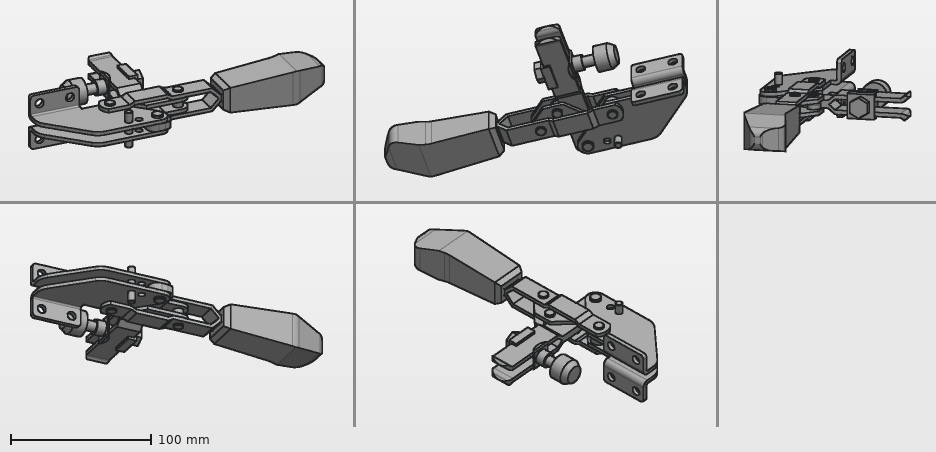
import cadquery as cq
import math


PLATE = 3.0
INNER_LAYER = PLATE
OUTER_LAYER = 6.3
TALL = 42.5
HALF_TALL = TALL / 2
MITRE = math.tan(math.radians(45 / 2))

LEVER_PIVOT = (0.0, 0.0)
ARM_PIVOT = (25.2, 25.9)
LINK_LEVER_PIVOT = (0.0, 53.3)
LINK_ARM_PIVOT = (-10.0, 38.2)
RIVET_D = 7.5
ARM_RIVET_D = 8.3
PIN_CHAMFER = 0.5
LEVER_HEAD = 1.4
INNER_HEAD = 1.8
LEVER_RIVET_TOP = OUTER_LAYER + PLATE + LEVER_HEAD
INNER_RIVET_TOP = INNER_LAYER + PLATE + INNER_HEAD
EYE_SWEEP = 135

BASE_LEFT = -7.5
BASE_BOTTOM = -56.7
BASE_EYE_R = 7.5
BASE_CORNER_R = 12.4
BASE_CORNER_RISE = 32.8
FLANGE_LEFT = -15.5
FLANGE_LENGTH = 38.2
FLANGE_PLATE = 3.4
FLANGE_CORNER_R = 2.7
BEND_R = 1.4
FLANGE_HOLE_D = 6.5
FLANGE_HOLE_SPACING = 23.8
FLANGE_HOLE_Z = 14.2
SPACER_D = 12.2
STOP_HOLE_Y = 11.5
STOP_PIN_Y = 3.4
STOP_HOLE_D = 5.2
STOP_PIN_D = 5.5
STOP_PIN_TOP = 14.0

SCREW_D = 7.9
ARM_TOP = 35.3
ARM_WIDTH = 18.5
ARM_BOTTOM = ARM_TOP - ARM_WIDTH
ARM_MID_Y = (ARM_TOP + ARM_BOTTOM) / 2
ARM_LEFT = -78.0
ARM_RIGHT = ARM_PIVOT[0] + BASE_EYE_R
ARM_END_R = 6.8
ARM_TIP_SAG = 3.4
ARM_PLATE = 3.2
ARM_GAP = SCREW_D / 2
ARM_TIP_BEND_R = 1.8
ARM_TIP_CORNER_R = 2.2
ARM_TIP_SPREAD = 9.2
ARM_FORK_START = -25.0
ARM_FORK_END = -19.8
ARM_FORK_TIP = -20.5
EAR_R = 4.5

LINK_LEFT = -16.0
LINK_EYE_R = 7.0
LINK_CORNER_R = 2.2
LINK_LOW_DIAGONAL = 16.5
LINK_LOW_X = -1.1

LEVER_HALF = 7.5
LEVER_END = -7.6
LEVER_END_SAG = 3.4
BULGE_LIFT = 2.0
BULGE_START = 12.2
BULGE_END = 45.5
BULGE_LOW_RAMP = 4.3
BULGE_HIGH_RAMP = 3.4
NECK_START = 77.0
TANG_END = 128.2

GRIP_START = 84.0
GRIP_BEVEL_END = 88.5
GRIP_WIDEST = 139.7
GRIP_END = 168.3
GRIP_FACE_HALF = 7.6
GRIP_BEVEL_HALF = 10.0
GRIP_WIDEST_HALF = 13.3
GRIP_FACE_X = (-10.8, 11.0)
GRIP_BEVEL_X = (-12.8, 13.5)
GRIP_NOSE_START = (162.2, 8.3)
GRIP_NOSE_MIDDLE = (167.0, 6.0)
GRIP_NOSE_END = (GRIP_END, 2.7)
GRIP_CORNERS = (
    ((15.0, GRIP_WIDEST), 13.5),
    ((1.1, 171.7), 7.5),
    ((-21.2, 159.3), 6.8),
    ((-14.0, 133.2), 18.0),
)
GRIP_X_LIMIT = 33.8

SCREW_X = -44.3
HEAD_FLATS = 13.0
HEAD_TOP = 43.2
SADDLE_LENGTH = 19.8
SADDLE_WALL = 2.0
SADDLE_DROP = 4.7
CLIP_LENGTH = 14.2
CLIP_WALL = 1.4
CLIP_RISE = 2.2
CLIP_CHAMFER = 1.1
COLLAR_D = 11.2
COLLAR_LENGTH = 7.0
PAD_D = 19.1
PAD_TIP_D = 13.7
PAD_TOP = -1.4
PAD_LENGTH = 14.8
PAD_CYLINDER = 10.1
PAD_SOCKET = 6.8


def slab(outline, bottom, top):
    """Extrude an XY outline between two heights."""
    return outline.extrude(top - bottom).translate((0, 0, bottom))


def edge_near(x, y, z):
    """Selector for the edge whose middle is nearest to a point."""
    return cq.selectors.NearestToPointSelector((x, y, z))


def point_on_eye(centre, radius, degrees):
    """Point on the round end of a plate, at an angle from +X."""
    angle = math.radians(degrees)
    return (centre[0] + radius * math.cos(angle), centre[1] + radius * math.sin(angle))


def both_sides(upper):
    """Join a shape with its mirror image below the middle plane."""
    return upper.union(upper.mirror("XY"))


def cross_pin(place, diameter, top):
    """Pin along Z through the middle plane, chamfered at both ends."""
    return (
        cq.Workplane("XY")
        .center(*place)
        .circle(diameter / 2)
        .extrude(top, both=True)
        .faces("|Z").chamfer(PIN_CHAMFER)
    )


def cross_hole(place, diameter):
    """Cutter along Z through everything."""
    return cq.Workplane("XY").center(*place).circle(diameter / 2).extrude(HALF_TALL, both=True)


def y_cylinder(diameter, y_low, y_high):
    """Cylinder on the screw axis."""
    return (
        cq.Workplane("XZ", origin=(SCREW_X, y_low, 0))
        .circle(diameter / 2)
        .extrude(y_low - y_high)
    )


def base_plate():
    """Upper side plate with its rounded eye and sloped corner."""
    right = ARM_PIVOT[0] + BASE_EYE_R
    slope_start = point_on_eye(ARM_PIVOT, BASE_EYE_R, EYE_SWEEP)
    slope_end_y = slope_start[1] - (slope_start[0] - BASE_LEFT)
    outline = (
        cq.Workplane("XY")
        .moveTo(BASE_LEFT, BASE_BOTTOM)
        .lineTo(right - BASE_CORNER_RISE, BASE_BOTTOM)
        .lineTo(right, BASE_BOTTOM + BASE_CORNER_RISE)
        .lineTo(right, ARM_PIVOT[1])
        .threePointArc(point_on_eye(ARM_PIVOT, BASE_EYE_R, EYE_SWEEP / 2), slope_start)
        .lineTo(BASE_LEFT, slope_end_y)
        .close()
    )
    plate = slab(outline, INNER_LAYER, INNER_LAYER + PLATE)
    for x, y in ((right - BASE_CORNER_RISE, BASE_BOTTOM), (right, BASE_BOTTOM + BASE_CORNER_RISE)):
        plate = plate.edges("|Z").edges(edge_near(x, y, INNER_LAYER)).fillet(BASE_CORNER_R)
    return plate


def base_flange():
    """Upper mounting flange, bent up from the side plate, with two screw holes."""
    outer_r = BEND_R + PLATE
    plate_top = INNER_LAYER + PLATE
    back = FLANGE_LEFT + FLANGE_PLATE
    flange = (
        cq.Workplane("XZ", origin=(0, BASE_BOTTOM, 0))
        .moveTo(BASE_LEFT, INNER_LAYER)
        .lineTo(FLANGE_LEFT + outer_r, INNER_LAYER)
        .radiusArc((FLANGE_LEFT, INNER_LAYER + outer_r), outer_r)
        .lineTo(FLANGE_LEFT, HALF_TALL)
        .lineTo(back, HALF_TALL)
        .lineTo(back, plate_top + BEND_R)
        .radiusArc((back + BEND_R, plate_top), -BEND_R)
        .lineTo(BASE_LEFT, plate_top)
        .close()
        .extrude(-FLANGE_LENGTH)
    )
    flange = flange.faces(">Z").edges("|X").fillet(FLANGE_CORNER_R)
    middle_y = BASE_BOTTOM + FLANGE_LENGTH / 2
    holes = (
        cq.Workplane("YZ", origin=(FLANGE_LEFT, 0, 0))
        .pushPoints([(middle_y + side * FLANGE_HOLE_SPACING / 2, FLANGE_HOLE_Z) for side in (-1, 1)])
        .circle(FLANGE_HOLE_D / 2)
        .extrude(FLANGE_PLATE)
    )
    return flange.cut(holes)


def make_base():
    """Two flanged side plates held together by both pivots and the stop pin."""
    base = both_sides(base_plate().union(base_flange()))
    base = base.cut(cross_hole((ARM_PIVOT[0], STOP_HOLE_Y), STOP_HOLE_D))
    spacer = slab(cq.Workplane("XY").circle(SPACER_D / 2), -INNER_LAYER, INNER_LAYER)
    base = base.union(spacer)
    base = base.union(cross_pin(LEVER_PIVOT, RIVET_D, LEVER_RIVET_TOP))
    base = base.union(cross_pin(ARM_PIVOT, ARM_RIVET_D, INNER_RIVET_TOP))
    return base.union(cross_pin((ARM_PIVOT[0], STOP_PIN_Y), STOP_PIN_D, STOP_PIN_TOP))


def make_arm():
    """Two plates that lie together at the pivot and fork apart around the screw."""
    outer_shift = ARM_PLATE * MITRE
    tip_step = ARM_PLATE * math.sqrt(0.5)
    outer = ARM_GAP + ARM_PLATE
    tip_x = ARM_LEFT + tip_step
    tip_inner_z = ARM_TIP_SPREAD - tip_step
    bend = ARM_LEFT + tip_inner_z - ARM_GAP
    section = (
        cq.Workplane("XZ", origin=(0, ARM_BOTTOM, 0))
        .moveTo(ARM_RIGHT, 0)
        .lineTo(ARM_RIGHT, PLATE)
        .lineTo(ARM_FORK_END, PLATE)
        .lineTo(ARM_FORK_START, outer)
        .lineTo(bend + outer_shift, outer)
        .lineTo(tip_x, ARM_TIP_SPREAD)
        .lineTo(ARM_LEFT, tip_inner_z)
        .lineTo(bend, ARM_GAP)
        .lineTo(ARM_FORK_START, ARM_GAP)
        .lineTo(ARM_FORK_TIP, 0)
        .close()
        .extrude(-ARM_WIDTH)
    )
    for x, z, radius in (
        (bend + outer_shift, outer, ARM_TIP_BEND_R),
        (bend, ARM_GAP, ARM_TIP_BEND_R + ARM_PLATE),
    ):
        section = section.edges("|Y").edges(edge_near(x, ARM_MID_Y, z)).fillet(radius)
    outline = (
        cq.Workplane("XY")
        .moveTo(ARM_LEFT + ARM_TIP_SAG, ARM_BOTTOM)
        .lineTo(ARM_RIGHT, ARM_BOTTOM)
        .lineTo(ARM_RIGHT, ARM_TOP)
        .lineTo(ARM_LEFT + ARM_TIP_SAG, ARM_TOP)
        .threePointArc((ARM_LEFT, ARM_MID_Y), (ARM_LEFT + ARM_TIP_SAG, ARM_BOTTOM))
        .close()
    )
    blank = slab(outline, -HALF_TALL, HALF_TALL)
    blank = blank.edges("|Z").edges("<X").fillet(ARM_TIP_CORNER_R)
    blank = blank.edges("|Z").edges(">X").fillet(ARM_END_R)
    arm = both_sides(section).intersect(blank)
    ear_x, ear_y = LINK_ARM_PIVOT
    ear = (
        cq.Workplane("XY")
        .moveTo(ear_x - EAR_R, ARM_MID_Y)
        .lineTo(ear_x - EAR_R, ear_y)
        .threePointArc((ear_x, ear_y + EAR_R), (ear_x + EAR_R, ear_y))
        .lineTo(ear_x + EAR_R, ARM_MID_Y)
        .close()
    )
    arm = arm.union(slab(ear, -PLATE, PLATE))
    return arm.cut(cross_hole(ARM_PIVOT, ARM_RIVET_D)).cut(cross_hole(LINK_ARM_PIVOT, RIVET_D))


def make_link():
    """Two link plates joined by the rivets to the lever and to the arm."""
    shoulder = point_on_eye(LINK_LEVER_PIVOT, LINK_EYE_R, EYE_SWEEP)
    low_y = LINK_LOW_DIAGONAL - LINK_LOW_X
    right = LINK_LEVER_PIVOT[0] + LINK_EYE_R
    outline = (
        cq.Workplane("XY")
        .moveTo(right, LINK_LEVER_PIVOT[1])
        .threePointArc(point_on_eye(LINK_LEVER_PIVOT, LINK_EYE_R, EYE_SWEEP / 2), shoulder)
        .lineTo(LINK_LEFT, shoulder[1] - (shoulder[0] - LINK_LEFT))
        .lineTo(LINK_LEFT, LINK_LOW_DIAGONAL - LINK_LEFT)
        .lineTo(LINK_LOW_X, low_y)
        .lineTo(right, low_y + right - LINK_LOW_X)
        .close()
    )
    plate = slab(outline, INNER_LAYER, INNER_LAYER + PLATE)
    for corner in ("<X", "<Y"):
        plate = plate.edges("|Z").edges(corner).fillet(LINK_CORNER_R)
    link = both_sides(plate)
    link = link.union(cross_pin(LINK_LEVER_PIVOT, RIVET_D, LEVER_RIVET_TOP))
    return link.union(cross_pin(LINK_ARM_PIVOT, RIVET_D, INNER_RIVET_TOP))


def make_lever():
    """Two plates that straddle base and link, bulge over the arm and close to a tang in the grip."""
    inner = OUTER_LAYER
    outer = OUTER_LAYER + PLATE
    neck_shift = PLATE * MITRE
    low_ramp_end = BULGE_START + BULGE_LOW_RAMP
    high_ramp_start = BULGE_END - BULGE_HIGH_RAMP
    tang_start = NECK_START + outer - PLATE
    fork_tip = NECK_START - neck_shift + inner
    side = (
        cq.Workplane("YZ", origin=(-LEVER_HALF, 0, 0))
        .moveTo(LEVER_END, inner)
        .lineTo(BULGE_START, inner)
        .lineTo(low_ramp_end, inner + BULGE_LIFT)
        .lineTo(high_ramp_start, inner + BULGE_LIFT)
        .lineTo(BULGE_END, inner)
        .lineTo(NECK_START - neck_shift, inner)
        .lineTo(fork_tip, 0)
        .lineTo(TANG_END, 0)
        .lineTo(TANG_END, PLATE)
        .lineTo(tang_start, PLATE)
        .lineTo(NECK_START, outer)
        .lineTo(BULGE_END, outer)
        .lineTo(high_ramp_start, outer + BULGE_LIFT)
        .lineTo(low_ramp_end, outer + BULGE_LIFT)
        .lineTo(BULGE_START, outer)
        .lineTo(LEVER_END, outer)
        .close()
        .extrude(2 * LEVER_HALF)
    )
    outline = (
        cq.Workplane("XY")
        .moveTo(-LEVER_HALF, TANG_END)
        .lineTo(-LEVER_HALF, LEVER_END + LEVER_END_SAG)
        .threePointArc((0, LEVER_END), (LEVER_HALF, LEVER_END + LEVER_END_SAG))
        .lineTo(LEVER_HALF, TANG_END)
        .close()
    )
    lever = both_sides(side).intersect(slab(outline, -HALF_TALL, HALF_TALL))
    for place in (LEVER_PIVOT, LINK_LEVER_PIVOT):
        lever = lever.cut(cross_hole(place, RIVET_D))
    return lever


def grip_outline():
    """Bent grip outline in XY, with its bends and nose rounded."""
    bevel_left, bevel_right = GRIP_BEVEL_X
    points = [(x, GRIP_START) for x in GRIP_FACE_X]
    points += [(bevel_right, GRIP_BEVEL_END)]
    points += [corner for corner, radius in GRIP_CORNERS]
    points += [(bevel_left, GRIP_BEVEL_END)]
    body = slab(cq.Workplane("XY").polyline(points).close(), -HALF_TALL, HALF_TALL)
    for (x, y), radius in GRIP_CORNERS:
        body = body.edges("|Z").edges(edge_near(x, y, 0)).fillet(radius)
    return body


def make_grip(lever):
    """Grip that is tapered in both directions, with a socket for the lever tang."""
    thickness = (
        cq.Workplane("YZ", origin=(-GRIP_X_LIMIT, 0, 0))
        .moveTo(GRIP_START, 0)
        .lineTo(GRIP_START, GRIP_FACE_HALF)
        .lineTo(GRIP_BEVEL_END, GRIP_BEVEL_HALF)
        .lineTo(GRIP_WIDEST, GRIP_WIDEST_HALF)
        .lineTo(*GRIP_NOSE_START)
        .threePointArc(GRIP_NOSE_MIDDLE, GRIP_NOSE_END)
        .lineTo(GRIP_END, 0)
        .close()
        .extrude(2 * GRIP_X_LIMIT)
    )
    return both_sides(thickness).intersect(grip_outline()).cut(lever)


def saddle():
    """U-shaped washer under the screw head, over the upper edge of the arm."""
    arm_half = ARM_GAP + ARM_PLATE
    half = arm_half + SADDLE_WALL
    block = cq.Workplane("XY").box(SADDLE_LENGTH, SADDLE_WALL + SADDLE_DROP, 2 * half)
    slot = cq.Workplane("XY").box(SADDLE_LENGTH, SADDLE_DROP, 2 * arm_half)
    block = block.translate((SCREW_X, ARM_TOP + (SADDLE_WALL - SADDLE_DROP) / 2, 0))
    return block.cut(slot.translate((SCREW_X, ARM_TOP - SADDLE_DROP / 2, 0)))


def clip():
    """Lower washer with curved tabs that hold the sides of the arm."""
    arm_half = ARM_GAP + ARM_PLATE
    low = ARM_BOTTOM - CLIP_WALL
    half = CLIP_LENGTH / 2
    outline = (
        cq.Workplane("XY")
        .moveTo(SCREW_X - half, low)
        .lineTo(SCREW_X + half, low)
        .lineTo(SCREW_X + half, ARM_BOTTOM)
        .threePointArc((SCREW_X, ARM_BOTTOM + CLIP_RISE), (SCREW_X - half, ARM_BOTTOM))
        .close()
    )
    block = slab(outline, -arm_half - CLIP_WALL, arm_half + CLIP_WALL)
    block = block.faces("<Y").edges("|X").chamfer(CLIP_CHAMFER)
    slot = cq.Workplane("XY").box(CLIP_LENGTH, CLIP_RISE, 2 * arm_half)
    return block.cut(slot.translate((SCREW_X, ARM_BOTTOM + CLIP_RISE / 2, 0)))


def make_screw():
    """Hexagon screw with its head washer, arm clip and collar."""
    head_base = ARM_TOP + SADDLE_WALL
    head = (
        cq.Workplane("XZ", origin=(SCREW_X, head_base, 0))
        .polygon(6, HEAD_FLATS / math.cos(math.pi / 6))
        .extrude(head_base - HEAD_TOP)
        .rotate((SCREW_X, 0, 0), (SCREW_X, 1, 0), 30)
    )
    collar_top = ARM_BOTTOM - CLIP_WALL
    collar = y_cylinder(COLLAR_D, collar_top - COLLAR_LENGTH, collar_top)
    shank = y_cylinder(SCREW_D, PAD_TOP - PAD_SOCKET, head_base)
    return head.union(saddle()).union(clip()).union(collar).union(shank)


def make_pad():
    """Pressure pad pushed over the end of the screw."""
    bottom = PAD_TOP - PAD_LENGTH
    cone_top = PAD_TOP - PAD_CYLINDER
    pad = (
        cq.Workplane("XY", origin=(SCREW_X, 0, 0))
        .moveTo(0, PAD_TOP)
        .lineTo(PAD_D / 2, PAD_TOP)
        .lineTo(PAD_D / 2, cone_top)
        .lineTo(PAD_TIP_D / 2, bottom)
        .lineTo(0, bottom)
        .close()
        .revolve(360, (0, 0, 0), (0, 1, 0))
    )
    return pad.cut(y_cylinder(SCREW_D, PAD_TOP - PAD_SOCKET, PAD_TOP))


base = make_base()
arm = make_arm()
link = make_link()
lever = make_lever()
grip = make_grip(lever)
screw = make_screw()
pad = make_pad()

result = cq.Compound.makeCompound(
    [body.solids().val() for body in (base, arm, link, lever, grip, screw, pad)]
)